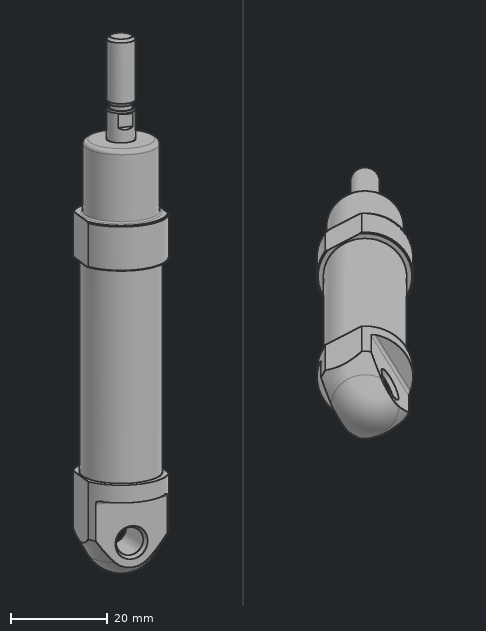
import cadquery as cq
import math

BARREL_RADIUS = 17.3 / 2
HEAD_RADIUS = 16.0 / 2
COLLAR_RADIUS = 20.0 / 2
ACROSS_FLATS = 18.0
FLANGE_TOP = 21.7
LEDGE_Z = 17.9
COLLAR_BOTTOM = 68.0
COLLAR_TOP = 77.8
COLLAR_CHAMFER = 0.2
HEAD_TOP = 93.7
HEAD_FILLET = 1.0
HEAD_ROOT_FILLET = 0.3

LUG_THICKNESS = 12.0
LUG_FILLET = 0.7
TIP_RADIUS = 8.1
TIP_CONE_ANGLE = math.radians(60)
PIN_HOLE_RADIUS = 6.0 / 2
PIN_HOLE_Z = 8.0
PIN_MOUTH_RADIUS = PIN_HOLE_RADIUS + 0.6
PIN_MOUTH_DEPTH = 1.0

ROD_RADIUS = 6.0 / 2
ROD_TOP = 116.0
ROD_CHAMFER = (6.0 - 4.8) / 2
GROOVE_RADIUS = 4.8 / 2
GROOVE_TOP = 102.2
GROOVE_BOTTOM = 100.5
THREAD_END_SLOPE = 0.8
SHOULDER_CHAMFER = 0.3
WRENCH_ACROSS_FLATS = 5.1
WRENCH_TOP = 99.9
WRENCH_BOTTOM = 97.0
WRENCH_RUNOUT = ROD_RADIUS - WRENCH_ACROSS_FLATS / 2


def make_end_cap():
    """Lower flange and clevis blank: a cylinder ending in a cone tangent to a spherical tip."""
    tangent_radius = TIP_RADIUS * math.sin(TIP_CONE_ANGLE)
    tangent_z = TIP_RADIUS * (1 - math.cos(TIP_CONE_ANGLE))
    cone_top = tangent_z + (COLLAR_RADIUS - tangent_radius) * math.tan(TIP_CONE_ANGLE)
    mid_radius = TIP_RADIUS * math.sin(TIP_CONE_ANGLE / 2)
    mid_z = TIP_RADIUS * (1 - math.cos(TIP_CONE_ANGLE / 2))
    return (
        cq.Workplane("XZ")
        .moveTo(0, 0)
        .threePointArc((mid_radius, mid_z), (tangent_radius, tangent_z))
        .lineTo(COLLAR_RADIUS, cone_top)
        .lineTo(COLLAR_RADIUS, FLANGE_TOP)
        .lineTo(0, FLANGE_TOP)
        .close()
        .revolve(360, (0, 0, 0), (0, 1, 0))
    )


def cylinder(radius, bottom, top):
    return cq.Workplane("XY").workplane(offset=bottom).circle(radius).extrude(top - bottom)


def cut_lug_sides(cap):
    """Flatten both X sides of the end cap below the ledge, with a filleted inner corner."""
    cut_width = COLLAR_RADIUS
    for side in (-1, 1):
        center_x = side * (LUG_THICKNESS + cut_width) / 2
        cut = cq.Workplane("XY").center(center_x, 0).rect(cut_width, 2 * COLLAR_RADIUS).extrude(LEDGE_Z)
        inner_side = "<X" if side > 0 else ">X"
        cut = cut.faces(inner_side).edges(">Z").fillet(LUG_FILLET)
        cap = cap.cut(cut)
    return cap


def cut_pin_hole(cap):
    """Cross hole along X through the lug, with a conical countersink at both mouths."""
    half = LUG_THICKNESS / 2
    hole = (
        cq.Workplane("XY")
        .polyline([
            (-half, 0),
            (-half, PIN_MOUTH_RADIUS),
            (-half + PIN_MOUTH_DEPTH, PIN_HOLE_RADIUS),
            (half - PIN_MOUTH_DEPTH, PIN_HOLE_RADIUS),
            (half, PIN_MOUTH_RADIUS),
            (half, 0),
        ])
        .close()
        .revolve(360, (0, 0, 0), (1, 0, 0))
        .translate((0, 0, PIN_HOLE_Z))
    )
    return cap.cut(hole)


def make_head_root():
    """Ring with the concave fillet between the collar and the head."""
    outer = HEAD_RADIUS + HEAD_ROOT_FILLET
    top = COLLAR_TOP + HEAD_ROOT_FILLET
    inset = HEAD_ROOT_FILLET * (1 - math.sqrt(0.5))
    return (
        cq.Workplane("XZ")
        .moveTo(0, COLLAR_TOP)
        .lineTo(outer, COLLAR_TOP)
        .threePointArc((HEAD_RADIUS + inset, COLLAR_TOP + inset), (HEAD_RADIUS, top))
        .lineTo(0, top)
        .close()
        .revolve(360, (0, 0, 0), (0, 1, 0))
    )


def make_housing():
    cap = cut_pin_hole(cut_lug_sides(make_end_cap()))
    collar = cylinder(COLLAR_RADIUS, COLLAR_BOTTOM, COLLAR_TOP).edges().chamfer(COLLAR_CHAMFER)
    flats = cq.Workplane("XY").rect(2 * COLLAR_RADIUS, ACROSS_FLATS).extrude(HEAD_TOP)
    barrel = cylinder(BARREL_RADIUS, FLANGE_TOP, COLLAR_BOTTOM)
    head = cylinder(HEAD_RADIUS, COLLAR_TOP, HEAD_TOP).faces(">Z").edges().fillet(HEAD_FILLET)
    root = make_head_root()
    return cap.union(barrel).union(collar).union(head).union(root).intersect(flats)


def cut_wrench_flats(rod):
    """Two flats facing X, each running out in a slope at its lower end."""
    half = WRENCH_ACROSS_FLATS / 2
    for side in (-1, 1):
        cut = (
            cq.Workplane("XZ")
            .polyline([
                (side * half, WRENCH_BOTTOM),
                (side * ROD_RADIUS, WRENCH_BOTTOM - WRENCH_RUNOUT),
                (side * ROD_RADIUS, WRENCH_TOP),
                (side * half, WRENCH_TOP),
            ])
            .close()
            .extrude(ROD_RADIUS, both=True)
        )
        rod = rod.cut(cut)
    return rod


def make_rod():
    """Rod standing on the head, with a tip chamfer, a groove, a chamfered shoulder and wrench flats."""
    rod = (
        cq.Workplane("XZ")
        .polyline([
            (0, HEAD_TOP),
            (ROD_RADIUS, HEAD_TOP),
            (ROD_RADIUS, GROOVE_BOTTOM - SHOULDER_CHAMFER),
            (ROD_RADIUS - SHOULDER_CHAMFER, GROOVE_BOTTOM),
            (GROOVE_RADIUS, GROOVE_BOTTOM),
            (GROOVE_RADIUS, GROOVE_TOP - THREAD_END_SLOPE),
            (ROD_RADIUS, GROOVE_TOP),
            (ROD_RADIUS, ROD_TOP - ROD_CHAMFER),
            (ROD_RADIUS - ROD_CHAMFER, ROD_TOP),
            (0, ROD_TOP),
        ])
        .close()
        .revolve(360, (0, 0, 0), (0, 1, 0))
    )
    return cut_wrench_flats(rod)


housing = make_housing()
rod = make_rod()

result = cq.Compound.makeCompound([housing.val(), rod.val()])